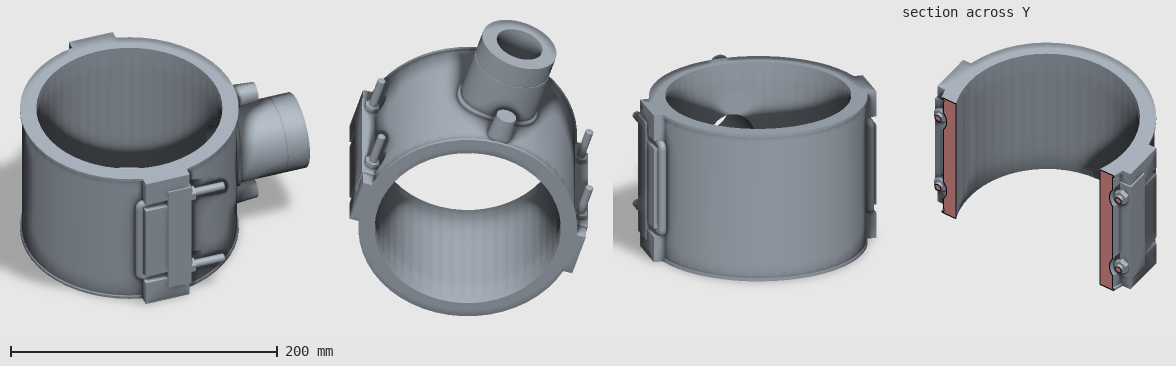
import cadquery as cq


height = 118.0
bore_radius = 69.9
body_radius = 80.6
rim_radius = 82.1
rim_thickness = 2.2

lug_reach = 87.3
lug_thickness = 17.5

sheet = 1.19
sheet_length = 94.0
sheet_top = lug_thickness + sheet

rod_diameter = 6.0
rod_radius = rod_diameter / 2
slot_width = 6.5
rod_x = 81.5
rod_z = 35.4
rod_end_y = 46.8
rod_end_chamfer = 0.6
u_bolt_bottom = 23.3
u_bar_y = rod_radius - u_bolt_bottom
bend_radius = 3.2
nut_across_corners = 11.6
nut_thickness = 4.0
nut_recess_radius = 13.5

overall_length = 215.6
branch_end_y = overall_length - rim_radius
branch_diameter = 58.2
branch_bore = 35.8
groove_diameter = 57.4
groove_width = 1.3
groove_y = 115.5
collar_diameter = 62.7
collar_top_radius = 83.7
collar_chamfer = 0.9

stud_z = 47.2
stud_end_y = 100.0
stud_end_diameter = 15.0
stud_base_diameter = 18.8

SIDES = (-1, 1)


def upright_cylinder(radius, length):
    """Cylinder on the Z axis, centred on Z = 0."""
    return cq.Workplane("XY", origin=(0, 0, -length / 2)).circle(radius).extrude(length)


def box_between(x_range, y_range, z_range):
    """Box given by its limits along each axis, in any order."""
    corners = [sorted(limits) for limits in (x_range, y_range, z_range)]
    sizes = [high - low for low, high in corners]
    lows = [low for low, high in corners]
    return cq.Workplane("XY").box(*sizes, centered=False).translate(tuple(lows))


def along_y(x, y, z):
    """Workplane at a point, facing +Y."""
    return cq.Workplane(cq.Plane(origin=(x, y, z), xDir=(1, 0, 0), normal=(0, 1, 0)))


def ring_half(y_side):
    """Solid half ring with end rims and two lugs, on one side of the joint."""
    ring = upright_cylinder(body_radius, height)
    rim = upright_cylinder(rim_radius, rim_thickness)
    rim_z = (height - rim_thickness) / 2
    for z_side in SIDES:
        ring = ring.union(rim.translate((0, 0, z_side * rim_z)))
    x_range = (-lug_reach, lug_reach)
    z_range = (-height / 2, height / 2)
    ring = ring.union(box_between(x_range, (0, y_side * lug_thickness), z_range))
    return ring.intersect(box_between(x_range, (0, y_side * lug_reach), z_range))


def nut_recess(x_side, z_side):
    """Round cutter that clears the ring wall beside a nut."""
    centre = along_y(x_side * lug_reach, lug_thickness, z_side * rod_z)
    return centre.circle(nut_recess_radius).extrude(rod_end_y - lug_thickness)


def sheet_angle(x_side):
    """Angle covering the outer and top faces of an upper lug."""
    z_range = (-sheet_length / 2, sheet_length / 2)
    outer = x_side * (lug_reach + sheet)
    leg = box_between((x_side * lug_reach, outer), (0, sheet_top), z_range)
    top = box_between((x_side * (rod_x - rod_radius), outer), (lug_thickness, sheet_top), z_range)
    return leg.union(top)


def upper_rod(x_side, z_side):
    """Rod end above the joint, with its nut."""
    x = x_side * rod_x
    z = z_side * rod_z
    rod = along_y(x, 0, z).circle(rod_radius).extrude(rod_end_y).faces(">Y").chamfer(rod_end_chamfer)
    nut = along_y(x, sheet_top, z).polygon(6, nut_across_corners).extrude(nut_thickness)
    nut = nut.rotate((x, 0, z), (x, 1, z), 90)
    return rod.union(nut)


def lower_u_bolt(x_side):
    """Part of the U-bolt below the joint: two rods, two tight bends and the cross bar."""
    x = x_side * rod_x
    bend_y = u_bar_y + bend_radius
    bar_half = rod_z - bend_radius
    path = (
        cq.Workplane("YZ", origin=(x, 0, 0))
        .moveTo(0, rod_z)
        .lineTo(bend_y, rod_z)
        .tangentArcPoint((u_bar_y, bar_half), relative=False)
        .lineTo(u_bar_y, -bar_half)
        .tangentArcPoint((bend_y, -rod_z), relative=False)
        .lineTo(0, -rod_z)
    )
    return along_y(x, 0, rod_z).circle(rod_radius).sweep(path)


def rod_slot(x_side, z_side):
    """Slot cutter, open to the side of a lower lug, down to the rod axis."""
    z = z_side * rod_z
    return box_between(
        (x_side * rod_x, x_side * (lug_reach + sheet)),
        (-lug_thickness, 0),
        (z - slot_width / 2, z + slot_width / 2),
    )


def branch():
    """Grooved branch pipe with a saddle-shaped collar, still solid inside."""
    pipe = along_y(0, 0, 0).circle(branch_diameter / 2).extrude(branch_end_y)
    groove = along_y(0, groove_y - groove_width / 2, 0)
    groove = groove.circle(branch_diameter / 2).circle(groove_diameter / 2).extrude(groove_width)
    collar = along_y(0, 0, 0).circle(collar_diameter / 2).extrude(rim_radius + rim_thickness)
    collar = collar.intersect(upright_cylinder(collar_top_radius, height))
    collar = collar.faces(">Y").chamfer(collar_chamfer)
    return pipe.cut(groove).union(collar)


def stud(z_side):
    """Tapered stud along +Y, starting inside the ring wall."""
    base_y = (bore_radius + body_radius) / 2
    base = along_y(0, base_y, z_side * stud_z).circle(stud_base_diameter / 2)
    return base.workplane(offset=stud_end_y - base_y).circle(stud_end_diameter / 2).loft()


upper = ring_half(1)
for x_side in SIDES:
    for z_side in SIDES:
        upper = upper.cut(nut_recess(x_side, z_side))
for x_side in SIDES:
    upper = upper.union(sheet_angle(x_side))
    for z_side in SIDES:
        upper = upper.union(upper_rod(x_side, z_side))
upper = upper.union(branch())
for z_side in SIDES:
    upper = upper.union(stud(z_side))

lower = ring_half(-1)
for x_side in SIDES:
    for z_side in SIDES:
        lower = lower.cut(rod_slot(x_side, z_side))
for x_side in SIDES:
    lower = lower.union(lower_u_bolt(x_side))

pipe_bore = upright_cylinder(bore_radius, height)
branch_hole = along_y(0, 0, 0).circle(branch_bore / 2).extrude(branch_end_y)
upper = upper.cut(pipe_bore).cut(branch_hole)
lower = lower.cut(pipe_bore)

result = upper.union(lower, clean=False)